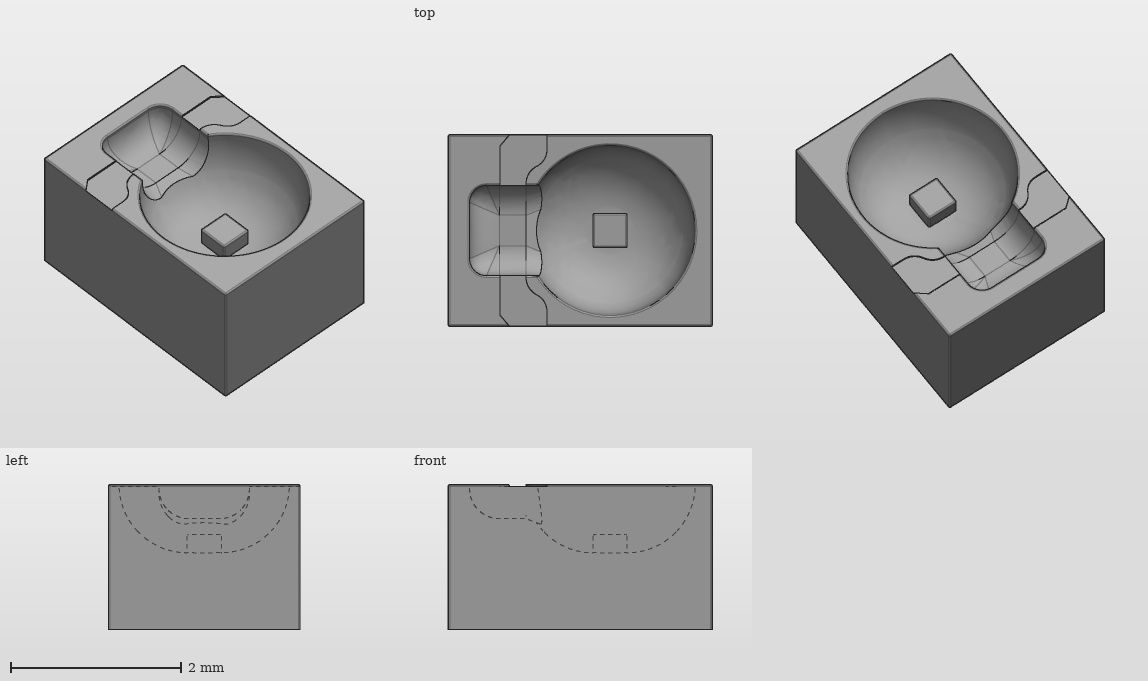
import cadquery as cq
import math


LENGTH = 3.1
WIDTH = 2.25
HEIGHT = 1.7
EDGE_RADIUS = 0.02

BOWL_X = 0.35
BOWL_RADIUS = 1.0
BOWL_DEPTH = 0.8
RIM_RADIUS = 0.02

POST_SIDE = 0.4
POST_EDGE_RADIUS = 0.02
POST_FOOT = 0.1
POST_TOP_DEPTH = 0.585

POCKET_LEFT = -1.3
POCKET_HALF_WIDTH = 0.53
POCKET_DEPTH = 0.4
POCKET_FLOOR_RADIUS = 0.35
POCKET_CORNER_RADIUS = 0.2
POCKET_WALL_DEPTH = POCKET_DEPTH - POCKET_FLOOR_RADIUS
POCKET_FLOOR_LEFT = POCKET_LEFT + POCKET_FLOOR_RADIUS
POCKET_FLOOR_HALF = POCKET_HALF_WIDTH - POCKET_FLOOR_RADIUS
POCKET_END_SECTIONS = 7
CLOSING_WIDTH = 0.0005

FLARE_START = -0.635
FLARE_END = -0.4
FLARE_END_DEPTH = 0.49
FLARE_END_FLOOR_HALF = 0.275

RECESS_DEPTH = 0.02
RECESS_LEFT = -0.94
RECESS_RIGHT_INNER = -0.63
RECESS_RIGHT_OUTER = -0.39
RECESS_BEND_START = 0.5
RECESS_BEND_MIDDLE = 0.755
RECESS_BEND_END = 0.95
RECESS_CORNER_X = 0.11
RECESS_CORNER_Y = 0.13


def make_block():
    """Block with its top face at Z = 0, rounded on its upright and top edges."""
    block = cq.Workplane("XY").box(LENGTH, WIDTH, HEIGHT).translate((0, 0, -HEIGHT / 2))
    return block.edges("|Z").fillet(EDGE_RADIUS).faces(">Z").edges().fillet(EDGE_RADIUS)


def make_bowl():
    """Bowl shaped like a cup: a small flat floor rising in a quarter round to the top face."""
    floor_radius = BOWL_RADIUS - BOWL_DEPTH
    arc_offset = BOWL_DEPTH * math.sqrt(0.5)
    profile = (
        cq.Workplane("XZ")
        .lineTo(0, -BOWL_DEPTH)
        .lineTo(floor_radius, -BOWL_DEPTH)
        .threePointArc((floor_radius + arc_offset, -arc_offset), (BOWL_RADIUS, 0))
        .close()
    )
    return profile.revolve(360, (0, 0, 0), (0, 1, 0)).translate((BOWL_X, 0, 0))


def pocket_end_wire(inset, depth):
    """Outline of the rounded pocket end at one depth, closed on the straight stretch."""
    left = POCKET_LEFT + inset
    half = POCKET_HALF_WIDTH - inset
    radius = POCKET_CORNER_RADIUS * (1 - inset / POCKET_FLOOR_RADIUS)
    gap = radius * (1 - math.sqrt(0.5))
    outline = (
        cq.Workplane("XY", origin=(0, 0, -depth))
        .moveTo(POCKET_FLOOR_LEFT, -half)
        .lineTo(POCKET_FLOOR_LEFT, half)
        .lineTo(left + radius, half)
        .threePointArc((left + gap, half - gap), (left, half - radius))
        .lineTo(left, radius - half)
        .threePointArc((left + gap, gap - half), (left + radius, -half))
        .close()
    )
    return outline.val()


def make_pocket_end():
    """Rounded left end of the pocket, its corners tapering to the corners of the flat floor."""
    wall = cq.Solid.extrudeLinear(pocket_end_wire(0, 0), [], cq.Vector(0, 0, -POCKET_WALL_DEPTH))
    sections = []
    for index in range(POCKET_END_SECTIONS):
        angle = math.pi / 2 * index / (POCKET_END_SECTIONS - 1)
        inset = min(POCKET_FLOOR_RADIUS * (1 - math.cos(angle)), POCKET_FLOOR_RADIUS - CLOSING_WIDTH)
        sections.append(pocket_end_wire(inset, POCKET_WALL_DEPTH + POCKET_FLOOR_RADIUS * math.sin(angle)))
    return cq.Workplane(wall).union(cq.Workplane(cq.Solid.makeLoft(sections)), clean=False)


def pocket_section(x, depth, floor_half):
    """Cross section of the pocket at one x: upright walls, rounded corners and a flat floor."""
    arc_y = floor_half + (POCKET_HALF_WIDTH - floor_half) * math.sqrt(0.5)
    arc_z = -POCKET_WALL_DEPTH - (depth - POCKET_WALL_DEPTH) * math.sqrt(0.5)
    return (
        cq.Workplane("YZ", origin=(x, 0, 0))
        .moveTo(-POCKET_HALF_WIDTH, 0)
        .lineTo(-POCKET_HALF_WIDTH, -POCKET_WALL_DEPTH)
        .threePointArc((-arc_y, arc_z), (-floor_half, -depth))
        .lineTo(floor_half, -depth)
        .threePointArc((arc_y, arc_z), (POCKET_HALF_WIDTH, -POCKET_WALL_DEPTH))
        .lineTo(POCKET_HALF_WIDTH, 0)
        .close()
    )


def make_pocket_channel():
    """Straight stretch of the pocket."""
    section = pocket_section(POCKET_FLOOR_LEFT, POCKET_DEPTH, POCKET_FLOOR_HALF)
    return section.extrude(FLARE_START - POCKET_FLOOR_LEFT)


def make_pocket_flare():
    """Mouth of the pocket, growing deeper and wider at the floor until it is inside the bowl."""
    start = pocket_section(FLARE_START, POCKET_DEPTH, POCKET_FLOOR_HALF)
    end = pocket_section(FLARE_END, FLARE_END_DEPTH, FLARE_END_FLOOR_HALF)
    return cq.Workplane(cq.Solid.makeLoft([start.val(), end.val()], True))


def make_recess():
    """Shallow band with a small corner cut on its left and an S-bend on its right, mirrored about Y = 0."""
    half = WIDTH / 2
    middle = ((RECESS_RIGHT_INNER + RECESS_RIGHT_OUTER) / 2, RECESS_BEND_MIDDLE)
    outline = (
        cq.Workplane("XY", origin=(0, 0, -RECESS_DEPTH))
        .moveTo(RECESS_LEFT, 0)
        .lineTo(RECESS_LEFT, half - RECESS_CORNER_Y)
        .lineTo(RECESS_LEFT + RECESS_CORNER_X, half)
        .lineTo(RECESS_RIGHT_OUTER, half)
        .lineTo(RECESS_RIGHT_OUTER, RECESS_BEND_END)
        .tangentArcPoint(middle, relative=False)
        .tangentArcPoint((RECESS_RIGHT_INNER, RECESS_BEND_START), relative=False)
        .lineTo(RECESS_RIGHT_INNER, 0)
        .close()
    )
    upper = outline.extrude(RECESS_DEPTH)
    return upper.union(upper.mirror("XZ"))


def make_post():
    """Square post with its foot sunk below the bowl floor."""
    height = BOWL_DEPTH + POST_FOOT - POST_TOP_DEPTH
    post = cq.Workplane("XY").box(POST_SIDE, POST_SIDE, height).edges("|Z or >Z").fillet(POST_EDGE_RADIUS)
    return post.translate((BOWL_X, 0, -POST_TOP_DEPTH - height / 2))


def round_rims(body):
    """Round the top edges of the bowl and the pocket."""
    inner = cq.selectors.BoxSelector(
        (RIM_RADIUS - LENGTH / 2, RIM_RADIUS - WIDTH / 2, -RIM_RADIUS),
        (LENGTH / 2 - RIM_RADIUS, WIDTH / 2 - RIM_RADIUS, RIM_RADIUS),
    )
    return body.faces(">Z").edges(inner).fillet(RIM_RADIUS)


body = make_block().cut(make_bowl())
for pocket_part in (make_pocket_channel(), make_pocket_flare(), make_pocket_end()):
    body = body.cut(pocket_part)
body = round_rims(body)
body = body.union(make_post()).cut(make_recess())
result = body.translate((0, 0, HEIGHT / 2))